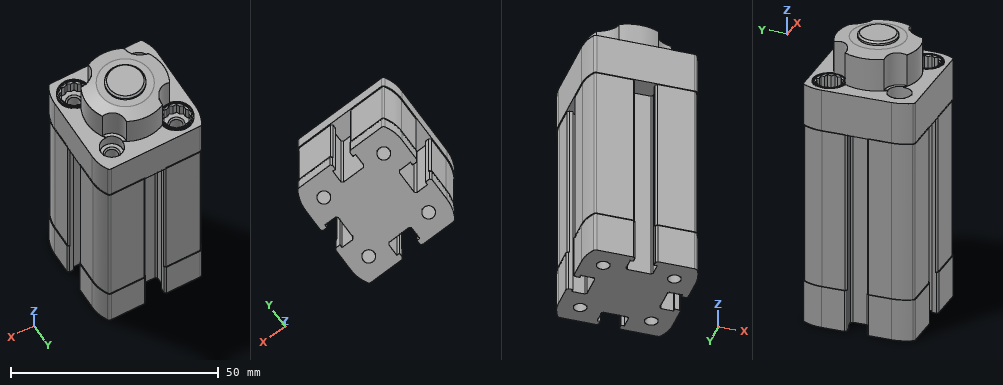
import cadquery as cq
import math

total_height = 74.5
cap_height = 11.0
housing_top = 64.15
collar_shoulder_z = 72.65
collar_top_z = 73.5
front_cap_z = housing_top - cap_height

cap_width = 29.0
profile_setback = 0.2
side_flat_half = 9.0
side_arc_radius = 10.0
corner_fillet = 0.9

slot_mouth_half = 2.6
slot_mouth_chamfer = 0.45
slot_lip_thickness = 1.65
slot_inside_half = 3.4
slot_depth = 5.3
slot_floor_chamfer = 0.45

collar_diameter = 21.45
collar_flat_diameter = 14.0

hole_offset = 9.0
hole_diameter = 3.3
hole_mouth_diameter = 4.1
counterbore_diameter = 6.0
counterbore_depth = 3.0
counterbore_relief_diameter = 7.75
relief_step = 0.2
insert_diameter = 8.5
insert_chamfer = 0.3
socket_flats = 6.0
socket_depth = 3.5
socket_mouth_diameter = 7.3
socket_mouth_depth = 0.4

rod_diameter = 10.0
rod_tip_diameter = 9.0
rod_tip_chamfer = (rod_diameter - rod_tip_diameter) / 2
rod_seat_z = front_cap_z

counterbored_holes = [(-hole_offset, -hole_offset), (hole_offset, hole_offset)]
socket_holes = [(-hole_offset, hole_offset), (hole_offset, -hole_offset)]


def outline_block(setback, bottom, top):
    """Square block whose two X sides run into the Y sides through a large arc and a small fillet."""
    half = cap_width / 2 - setback
    radius = side_arc_radius - setback
    arc_centre_x = half - radius
    end_angle = math.asin((half - side_flat_half) / radius)

    def arc_point(angle, x_sign, y_sign):
        x = arc_centre_x + radius * math.cos(angle)
        y = side_flat_half + radius * math.sin(angle)
        return (x_sign * x, y_sign * y)

    return (
        cq.Workplane("XY", origin=(0, 0, bottom))
        .moveTo(half, -side_flat_half)
        .lineTo(half, side_flat_half)
        .threePointArc(arc_point(end_angle / 2, 1, 1), arc_point(end_angle, 1, 1))
        .lineTo(*arc_point(end_angle, -1, 1))
        .threePointArc(arc_point(end_angle / 2, -1, 1), (-half, side_flat_half))
        .lineTo(-half, -side_flat_half)
        .threePointArc(arc_point(end_angle / 2, -1, -1), arc_point(end_angle, -1, -1))
        .lineTo(*arc_point(end_angle, 1, -1))
        .threePointArc(arc_point(end_angle / 2, 1, -1), (half, -side_flat_half))
        .close()
        .extrude(top - bottom)
        .faces(">Y or <Y")
        .edges("|Z")
        .fillet(corner_fillet - setback)
    )


def slot_cutter(setback, bottom, top):
    """T-slot opening on the +X side, with a chamfered mouth and chamfered floor corners."""
    face = cap_width / 2 - setback
    lip = cap_width / 2 - slot_lip_thickness
    floor = cap_width / 2 - slot_depth
    upper_half = [
        (face, slot_mouth_half + slot_mouth_chamfer),
        (face - slot_mouth_chamfer, slot_mouth_half),
        (lip, slot_mouth_half),
        (lip, slot_inside_half),
        (floor + slot_floor_chamfer, slot_inside_half),
        (floor, slot_inside_half - slot_floor_chamfer),
    ]
    lower_half = [(x, -y) for x, y in reversed(upper_half)]
    return (
        cq.Workplane("XY", origin=(0, 0, bottom))
        .polyline(upper_half + lower_half)
        .close()
        .extrude(top - bottom)
    )


def slotted_block(setback, bottom, top):
    """Outline block with the same T-slot in the middle of each of its four sides."""
    block = outline_block(setback, bottom, top)
    cutter = slot_cutter(setback, bottom, top)
    for quarter in range(4):
        block = block.cut(cutter.rotate((0, 0, 0), (0, 0, 1), 90 * quarter))
    return block


def cylinder(diameter, bottom, top, centres=((0, 0),)):
    """Upright cylinders of one diameter at the given centres."""
    base = cq.Workplane("XY", origin=(0, 0, bottom))
    return base.pushPoints(centres).circle(diameter / 2).extrude(top - bottom)


def cone(bottom_diameter, top_diameter, bottom, top, centre):
    """Upright truncated cone."""
    return cq.Workplane(
        cq.Solid.makeCone(bottom_diameter / 2, top_diameter / 2, top - bottom, cq.Vector(*centre, bottom))
    )


def make_collar():
    """Collar with a conical shoulder, scalloped to clear the four mounting holes."""
    taper = cone(collar_diameter, collar_flat_diameter, collar_shoulder_z, collar_top_z, (0, 0))
    collar = cylinder(collar_diameter, housing_top, collar_shoulder_z).union(taper)
    collar = collar.cut(cylinder(insert_diameter, housing_top, collar_top_z, socket_holes))
    relief_bottom = housing_top + relief_step
    return collar.cut(
        cylinder(counterbore_relief_diameter, relief_bottom, collar_top_z, counterbored_holes)
    )


def hole_mouth(centre, floor):
    """45 degree countersink from a recess floor down into the through hole."""
    depth = (hole_mouth_diameter - hole_diameter) / 2
    return cone(hole_diameter, hole_mouth_diameter, floor - depth, floor, centre)


def cut_counterbored_hole(housing, centre):
    """Plain counterbore with a countersunk through hole in its floor."""
    floor = housing_top - counterbore_depth
    housing = housing.cut(cylinder(counterbore_diameter, floor, collar_top_z, [centre]))
    return housing.cut(hole_mouth(centre, floor))


def cut_socket_hole(housing, centre):
    """Twelve-point socket with a conical mouth, ringed by a V-groove, over a countersunk through hole."""
    groove_bottom = housing_top - insert_chamfer
    chamfered_rim = cone(
        insert_diameter, insert_diameter - 2 * insert_chamfer, groove_bottom, housing_top, centre
    )
    groove = cylinder(insert_diameter, groove_bottom, housing_top, [centre]).cut(chamfered_rim)
    housing = housing.cut(groove)

    floor = housing_top - socket_depth
    half_hexagon_step = 180 / 6
    across_corners = socket_flats / math.cos(math.radians(half_hexagon_step))
    for turn in (0, half_hexagon_step):
        hexagon = (
            cq.Workplane("XY", origin=(*centre, floor))
            .transformed(rotate=(0, 0, turn))
            .polygon(6, across_corners)
            .extrude(socket_depth)
        )
        housing = housing.cut(hexagon)
    mouth = cone(socket_flats, socket_mouth_diameter, housing_top - socket_mouth_depth, housing_top, centre)
    return housing.cut(mouth).cut(hole_mouth(centre, floor))


def make_housing():
    """Rear cap, slotted profile, front cap and collar as one body."""
    housing = slotted_block(0, 0, cap_height)
    housing = housing.union(slotted_block(profile_setback, cap_height, front_cap_z))
    housing = housing.union(outline_block(0, front_cap_z, housing_top))
    housing = housing.union(make_collar())
    housing = housing.cut(cylinder(rod_diameter, rod_seat_z, collar_top_z))
    housing = housing.cut(cylinder(hole_diameter, 0, housing_top, counterbored_holes + socket_holes))
    for centre in counterbored_holes:
        housing = cut_counterbored_hole(housing, centre)
    for centre in socket_holes:
        housing = cut_socket_hole(housing, centre)
    return housing


def make_rod():
    """Piston rod with a chamfered tip."""
    rod = cylinder(rod_diameter, rod_seat_z, total_height)
    return rod.faces(">Z").edges().chamfer(rod_tip_chamfer)


housing = make_housing()
rod = make_rod()
result = cq.Compound.makeCompound([housing.val(), rod.val()])